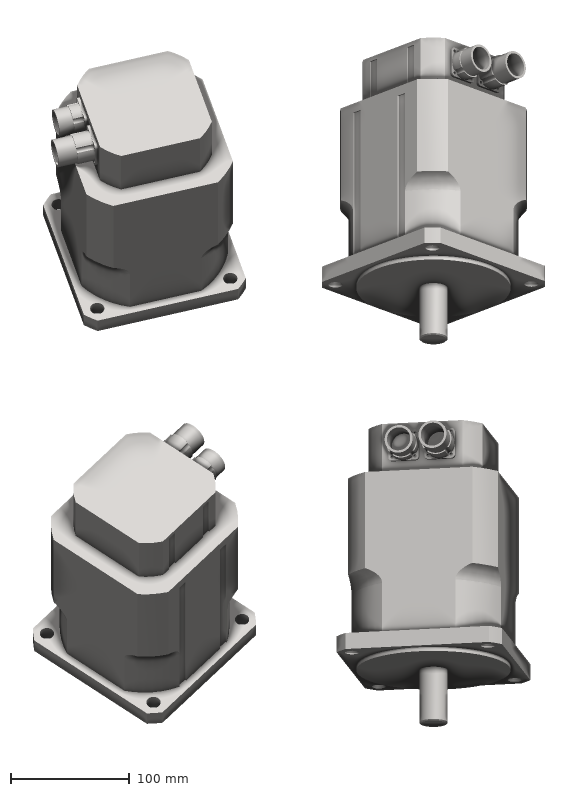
import cadquery as cq


OVERALL_HEIGHT = 250.0

FLANGE_SIDE = 142.0
FLANGE_CORNER_DIAMETER = 188.0
FLANGE_THICKNESS = 14.0
BOLT_CIRCLE_DIAMETER = 165.0
BOLT_HOLE_DIAMETER = 12.0
BOLT_COUNT = 4

SPIGOT_DIAMETER = 130.0
SPIGOT_HEIGHT = 3.5
SHAFT_DIAMETER = 24.0
SHAFT_LENGTH = 50.0
SHAFT_CHAMFER = 1.0

BODY_SIDE = 128.5
BODY_CORNER_DIAMETER = 158.0
BODY_HEIGHT = 141.0
BODY_TOP = FLANGE_THICKNESS + BODY_HEIGHT

RELIEF_RADIUS = 71.5
RELIEF_HEIGHT = 43.8
RELIEF_RUNOUT_RADIUS = 16.0

CAP_SIDE = 98.0
CAP_CORNER_DIAMETER = 120.0
CAP_HEIGHT = OVERALL_HEIGHT - SHAFT_LENGTH - BODY_TOP
CAP_TOP = BODY_TOP + CAP_HEIGHT

GROOVE_WIDTH = 8.5
GROOVE_DEPTH = 1.2
BODY_GROOVE_OFFSET = 26.8
BODY_GROOVE_END_GAP = 8.2
CAP_GROOVE_OFFSET = 22.2
CAP_GROOVE_END_GAP = 3.8

CONNECTOR_FACE_Y = -CAP_SIDE / 2
CONNECTOR_DROP = 20.0
CONNECTOR_FLANGE_SIDE = 26.0
CONNECTOR_FLANGE_FILLET = 3.0
CONNECTOR_FLANGE_THICKNESS = 2.5
COLLAR_DIAMETER = CONNECTOR_FLANGE_SIDE
TUBE_DIAMETER = 24.0
BORE_DIAMETER = 20.0
SCREW_SPACING = 19.8
SCREW_HOLE_DIAMETER = 2.8
SCALLOP_DIAMETER = 5.0
CONNECTOR_SPACING = 31.0
CONNECTORS = [
    (-CONNECTOR_SPACING / 2, 11.5, 24.2),
    (CONNECTOR_SPACING / 2, 17.5, 34.0),
]


def rounded_section(side, corner_diameter, bottom, height):
    """Square prism on the motor axis with its corners turned to a diameter."""
    square = cq.Workplane("XY").workplane(offset=bottom).rect(side, side).extrude(height)
    cylinder = cq.Workplane("XY").workplane(offset=bottom).circle(corner_diameter / 2).extrude(height)
    return square.intersect(cylinder)


def corner_relief():
    """Ring that turns down the lower body corners and curves outward at its top."""
    outer_radius = RELIEF_RADIUS + RELIEF_RUNOUT_RADIUS
    straight_top = FLANGE_THICKNESS + RELIEF_HEIGHT
    return (
        cq.Workplane("XZ")
        .moveTo(RELIEF_RADIUS, FLANGE_THICKNESS)
        .lineTo(RELIEF_RADIUS, straight_top)
        .radiusArc((outer_radius, straight_top + RELIEF_RUNOUT_RADIUS), RELIEF_RUNOUT_RADIUS)
        .lineTo(outer_radius, FLANGE_THICKNESS)
        .close()
        .revolve(360, (0, 0, 0), (0, 1, 0))
    )


def face_grooves(side, offset, bottom, top):
    """Pair of upright grooves in the -X face of a square section."""
    return (
        cq.Workplane("XY")
        .workplane(offset=bottom)
        .pushPoints([(-side / 2, -offset), (-side / 2, offset)])
        .rect(2 * GROOVE_DEPTH, GROOVE_WIDTH)
        .extrude(top - bottom)
    )


def make_flange():
    """Mounting flange with its bolt holes and centring spigot."""
    bolt_holes = (
        cq.Workplane("XY")
        .polarArray(BOLT_CIRCLE_DIAMETER / 2, 45, 360, BOLT_COUNT)
        .circle(BOLT_HOLE_DIAMETER / 2)
        .extrude(FLANGE_THICKNESS)
    )
    spigot = cq.Workplane("XY").circle(SPIGOT_DIAMETER / 2).extrude(-SPIGOT_HEIGHT)
    flange = rounded_section(FLANGE_SIDE, FLANGE_CORNER_DIAMETER, 0, FLANGE_THICKNESS)
    return flange.cut(bolt_holes).union(spigot)


def make_shaft():
    """Output shaft with a chamfered end."""
    shaft = cq.Workplane("XY").circle(SHAFT_DIAMETER / 2).extrude(-SHAFT_LENGTH)
    return shaft.faces("<Z").chamfer(SHAFT_CHAMFER)


def make_body():
    """Motor body with relieved lower corners and two grooves."""
    body = rounded_section(BODY_SIDE, BODY_CORNER_DIAMETER, FLANGE_THICKNESS, BODY_HEIGHT)
    groove_top = BODY_TOP - BODY_GROOVE_END_GAP
    grooves = face_grooves(BODY_SIDE, BODY_GROOVE_OFFSET, FLANGE_THICKNESS, groove_top)
    return body.cut(corner_relief()).cut(grooves)


def make_cap():
    """End cap with two grooves."""
    cap = rounded_section(CAP_SIDE, CAP_CORNER_DIAMETER, BODY_TOP, CAP_HEIGHT)
    grooves = face_grooves(CAP_SIDE, CAP_GROOVE_OFFSET, BODY_TOP, CAP_TOP - CAP_GROOVE_END_GAP)
    return cap.cut(grooves)


def make_motor():
    """Flange, shaft, body and end cap as one solid."""
    return make_flange().union(make_shaft()).union(make_body()).union(make_cap())


def make_connector(axis_x, collar_end, tube_end):
    """Flanged tubular connector that points along -Y from the cap face."""
    face = cq.Workplane("XZ", origin=(axis_x, CONNECTOR_FACE_Y, CAP_TOP - CONNECTOR_DROP))
    flange_front = face.workplane(offset=CONNECTOR_FLANGE_THICKNESS)

    flange = (
        face.rect(CONNECTOR_FLANGE_SIDE, CONNECTOR_FLANGE_SIDE)
        .extrude(CONNECTOR_FLANGE_THICKNESS)
        .edges("|Y")
        .fillet(CONNECTOR_FLANGE_FILLET)
    )
    screw_holes = (
        face.rect(SCREW_SPACING, SCREW_SPACING, forConstruction=True)
        .vertices()
        .circle(SCREW_HOLE_DIAMETER / 2)
        .extrude(CONNECTOR_FLANGE_THICKNESS)
    )

    collar_length = collar_end - CONNECTOR_FLANGE_THICKNESS
    scallops = (
        flange_front.rect(SCREW_SPACING, SCREW_SPACING, forConstruction=True)
        .vertices()
        .circle(SCALLOP_DIAMETER / 2)
        .extrude(collar_length)
    )
    collar = flange_front.circle(COLLAR_DIAMETER / 2).extrude(collar_length).cut(scallops)

    tube = face.workplane(offset=collar_end).circle(TUBE_DIAMETER / 2).extrude(tube_end - collar_end)
    bore = flange_front.circle(BORE_DIAMETER / 2).extrude(tube_end - CONNECTOR_FLANGE_THICKNESS)

    return flange.cut(screw_holes).union(collar).union(tube).cut(bore)


motor = make_motor()
connectors = [make_connector(*placement) for placement in CONNECTORS]

bodies = [motor, *connectors]
result = cq.Compound.makeCompound([body.solids().val() for body in bodies])